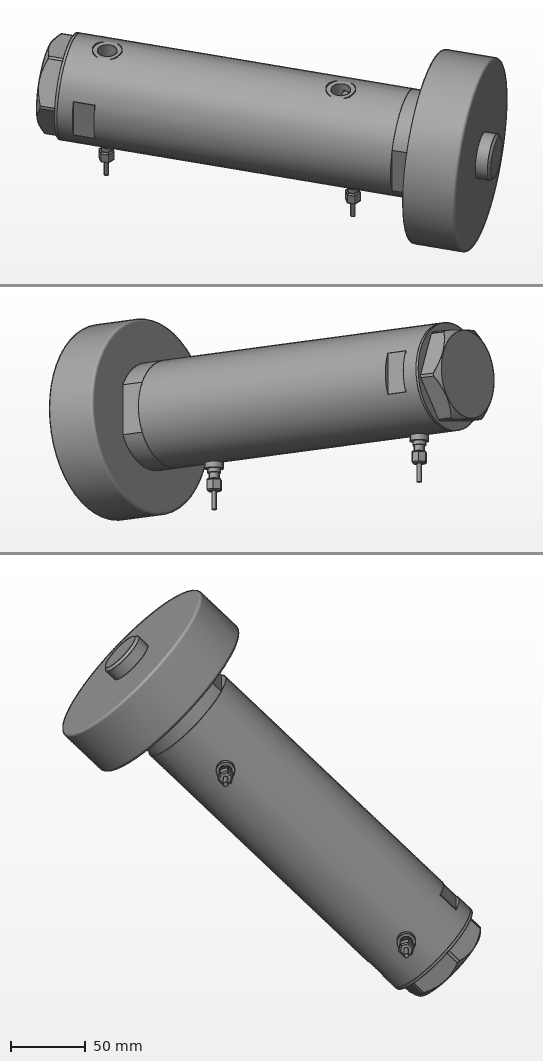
import cadquery as cq
import math


hex_end = 14.3
barrel_start = 16.2
plug_end = 42.7
gland_start = 203.7
barrel_end = 248.0
flange_start = 264.2
flange_end = 301.2
rod_tip = 311.5

hex_across_flats = 59.8
hex_corner_radius = 34.0
hex_turn = -8.0
hex_face_radius = 29.5
hex_chamfer_length = 3.7

barrel_radius = 36.5
bore_radius = 25.0
slot_start = 26.8
slot_length = 15.0
slot_height = 28.0
slot_depth = 3.0

port_stations = [41.0, 203.5]
port_radius = 6.5
port_seat_radius = 10.0
port_seat_depth = 1.1

spigot_radius = 30.5
gland_flats = 64.5
flange_radius = 66.0
flange_edge_radius = 2.0
rod_radius = 16.0
rod_chamfer = 2.0

sensor_stations = [40.5, 211.8]
screw_level = 31.0
head_top_level = 37.0
head_level = 41.0
shoulder_level = 44.0
stem_level = 48.0
nut_level = 56.5
cable_level = 69.0
screw_radius = 3.0
head_radius = 6.2
shoulder_radius = 4.5
stem_radius = 3.5
cable_radius = 1.5
nut_across_corners = 10.5
nut_chamfer = 1.0


def cylinder(radius, start, end):
    """Cylinder on the X axis between two stations."""
    return cq.Workplane("YZ").workplane(offset=start).circle(radius).extrude(end - start)


def upright(radius, station, low, high):
    """Vertical cylinder at a station, between two heights."""
    return cq.Workplane("XY", origin=(station, 0, low)).circle(radius).extrude(high - low)


def make_cap():
    across_corners = hex_across_flats / math.cos(math.pi / 6)
    hexagon = (
        cq.Workplane("YZ")
        .polygon(6, across_corners)
        .extrude(hex_end)
        .rotate((0, 0, 0), (1, 0, 0), hex_turn)
    )
    blank = (
        cq.Workplane("XY")
        .polyline([
            (0, 0),
            (0, hex_face_radius),
            (hex_chamfer_length, hex_corner_radius),
            (hex_end, hex_corner_radius),
            (hex_end, 0),
        ])
        .close()
        .revolve(360, (0, 0, 0), (1, 0, 0))
    )
    collar = cylinder(barrel_radius, hex_end, barrel_start)
    plug = cylinder(bore_radius, barrel_start, plug_end)
    return hexagon.intersect(blank).union(collar).union(plug)


def make_barrel():
    barrel = cylinder(barrel_radius, barrel_start, barrel_end)
    barrel = barrel.cut(cylinder(bore_radius, barrel_start, gland_start))
    barrel = barrel.cut(cylinder(spigot_radius, gland_start, barrel_end))

    slot_middle = barrel_radius - slot_depth / 2
    for side in (-1, 1):
        slot = cq.Workplane("XY").box(slot_length, slot_depth, slot_height).translate(
            (slot_start + slot_length / 2, side * slot_middle, 0)
        )
        barrel = barrel.cut(slot)

    port_seat_floor = barrel_radius - port_seat_depth
    for station in port_stations:
        barrel = barrel.cut(upright(port_radius, station, 0, barrel_radius))
        barrel = barrel.cut(upright(port_seat_radius, station, port_seat_floor, barrel_radius))

    for station in sensor_stations:
        barrel = barrel.cut(upright(screw_radius, station, -barrel_radius, -screw_level))
    return barrel


def make_gland():
    neck_length = flange_start - barrel_end
    neck = cylinder(barrel_radius, barrel_end, flange_start)
    flats = cq.Workplane("XY").box(neck_length, gland_flats, 2 * barrel_radius).translate(
        (barrel_end + neck_length / 2, 0, 0)
    )
    spigot = cylinder(spigot_radius, gland_start, barrel_end)
    rod_hole = cylinder(rod_radius, gland_start, flange_start)
    return neck.intersect(flats).union(spigot).cut(rod_hole)


def make_flange():
    flange = cylinder(flange_radius, flange_start, flange_end).edges().fillet(flange_edge_radius)
    return flange.cut(cylinder(rod_radius, flange_start, flange_end))


def make_rod():
    return cylinder(rod_radius, plug_end, rod_tip).faces(">X").chamfer(rod_chamfer)


def make_sensor(station):
    screw = upright(screw_radius, station, -head_top_level, -screw_level)
    head = upright(head_radius, station, -head_level, -head_top_level)
    shoulder = upright(shoulder_radius, station, -shoulder_level, -head_level)
    stem = upright(stem_radius, station, -stem_level, -shoulder_level)
    nut = (
        cq.Workplane("XY", origin=(station, 0, -nut_level))
        .polygon(6, nut_across_corners)
        .extrude(nut_level - stem_level)
        .faces("<Z or >Z")
        .chamfer(nut_chamfer)
    )
    cable = upright(cable_radius, station, -cable_level, -nut_level)
    return screw.union(head).union(shoulder).union(stem).union(nut).union(cable)


cap = make_cap()
barrel = make_barrel()
gland = make_gland()
flange = make_flange()
rod = make_rod()
sensors = [make_sensor(station) for station in sensor_stations]

result = cq.Compound.makeCompound([
    cap.val(),
    barrel.val(),
    gland.val(),
    flange.val(),
    rod.val(),
    *[sensor.val() for sensor in sensors],
])